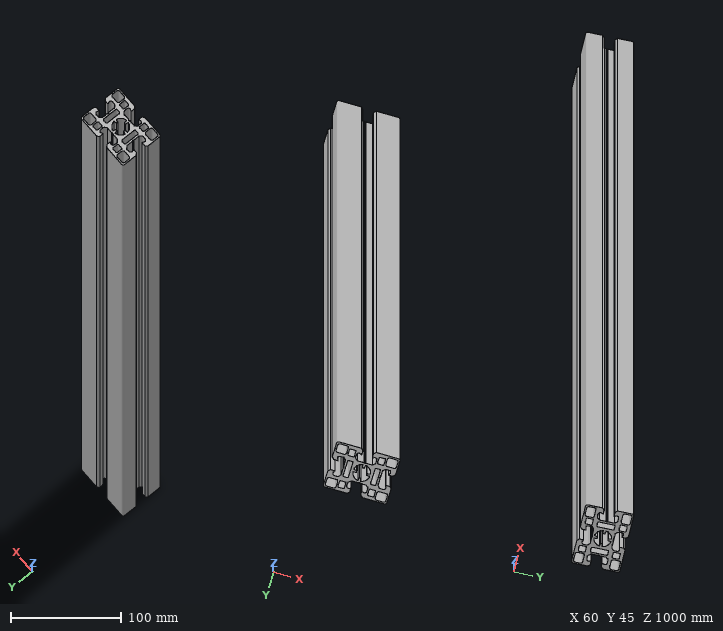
import cadquery as cq
import math

length = 1000.0
width = 60.0
depth = 45.0
half_width = width / 2
half_depth = depth / 2
corner_radius = 2.0

mouth_half_width = 5.0
mouth_chamfer = 2.0
lip_depth = 6.0
undercut_depth = 4.0
undercut_half_width = 9.5
undercut_fillet = 2.0
slot_depth = 12.5
floor_half_width = 7.0
wall_chamfer_height = 2.0
groove_half_width = 1.0
groove_depth = 0.5

corner_wall = 1.5
inner_wall = 3.5
slot_wall = 3.0
slot_side_wall = 1.5
web_thickness = 1.5
corner_chamber_width = 10.0
corner_chamber_fillet = 2.0
side_chamber_wall = 2.0
side_chamber_width = 5.0
side_chamber_height = 16.0
inner_chamber_fillet = 1.0

key_radius = 5.0
lobe_radius = 8.0
lobe_count = 4
lobe_half_angle = math.radians(35.5)


def slot_outline():
    """Half of the T-slot outline as (offset, depth) points, then its mirror image."""
    half = [
        (-mouth_half_width - mouth_chamfer, 0),
        (-mouth_half_width, mouth_chamfer),
        (-mouth_half_width, lip_depth),
        (-undercut_half_width, undercut_depth),
        (-undercut_half_width, slot_depth - wall_chamfer_height),
        (-floor_half_width, slot_depth),
        (-groove_half_width, slot_depth),
    ]
    groove_bottom = [(0, slot_depth + groove_depth)]
    mirrored = [(-offset, level) for offset, level in reversed(half)]
    return half + groove_bottom + mirrored


def prism(points):
    """Full-length prism on a closed polygon."""
    return cq.Workplane("XY").workplane(offset=-length / 2).polyline(points).close().extrude(length)


def chamber(x_min, x_max, y_min, y_max, fillet):
    """Full-length rectangular chamber with rounded corners."""
    corners = [(x_min, y_min), (x_max, y_min), (x_max, y_max), (x_min, y_max)]
    return prism(corners).edges("|Z").fillet(fillet)


def all_slots():
    """Cutters for the slots in the four long sides, with rounded undercut walls."""
    slot = prism([(offset, -level) for offset, level in slot_outline()])
    slot = slot.edges("|Z").edges("<X or >X").fillet(undercut_fillet)
    back = slot.translate((0, half_depth, 0))
    right = slot.rotate((0, 0, 0), (0, 0, 1), -90).translate((half_width, 0, 0))
    front = back.mirror("XZ")
    left = right.mirror("YZ")
    return [back, right, front, left]


def corner_chambers():
    """Cutters for the two chambers of the +X +Y corner, one on each side of a web."""
    y_min = undercut_half_width + slot_wall
    outer_y_max = half_depth - corner_wall
    inner_y_max = half_depth - inner_wall
    outer_x_max = half_width - corner_wall
    outer_x_min = outer_x_max - corner_chamber_width
    inner_x_max = outer_x_min - web_thickness
    inner_x_min = undercut_half_width + slot_side_wall
    return [
        chamber(outer_x_min, outer_x_max, y_min, outer_y_max, corner_chamber_fillet),
        chamber(inner_x_min, inner_x_max, y_min, inner_y_max, inner_chamber_fillet),
    ]


def side_chamber():
    """Cutter for the chamber between the right slot and the central bore."""
    x_max = half_width - slot_depth - side_chamber_wall
    x_min = x_max - side_chamber_width
    half_height = side_chamber_height / 2
    return chamber(x_min, x_max, -half_height, half_height, inner_chamber_fillet)


def polar(radius, angle):
    return (radius * math.cos(angle), radius * math.sin(angle))


def central_bore():
    """Cutter for the lobed bore; the lobes lie on the diagonals."""
    pitch = 2 * math.pi / lobe_count
    first_lobe = pitch / 2
    bore = cq.Workplane("XY").workplane(offset=-length / 2)
    bore = bore.moveTo(*polar(lobe_radius, first_lobe - lobe_half_angle))
    for index in range(lobe_count):
        lobe = first_lobe + index * pitch
        lobe_end = lobe + lobe_half_angle
        key = lobe + pitch / 2
        next_lobe_start = lobe + pitch - lobe_half_angle
        bore = bore.threePointArc(polar(lobe_radius, lobe), polar(lobe_radius, lobe_end))
        bore = bore.lineTo(*polar(key_radius, lobe_end))
        bore = bore.threePointArc(polar(key_radius, key), polar(key_radius, next_lobe_start))
        bore = bore.lineTo(*polar(lobe_radius, next_lobe_start))
    return bore.close().extrude(length)


result = cq.Workplane("XY").box(width, depth, length).edges("|Z").fillet(corner_radius)

for slot in all_slots():
    result = result.cut(slot)

for corner in corner_chambers():
    for opening in (corner, corner.mirror("YZ")):
        result = result.cut(opening).cut(opening.mirror("XZ"))

right_chamber = side_chamber()
result = result.cut(right_chamber).cut(right_chamber.mirror("YZ"))

result = result.cut(central_bore())